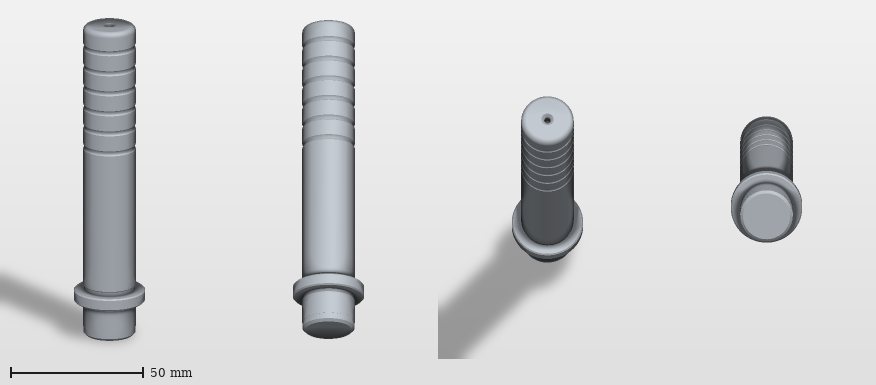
import cadquery as cq
import math

length = 123.0
rod_diameter = 19.9
nose_radius = 2.0

flange_diameter = 27.0
flange_bottom = 13.3
flange_thickness = 4.7
flange_chamfer = 0.5
neck_depth = 0.4
upper_neck_height = 1.8
lower_neck_height = 1.4

lead_height = 3.2
lead_depth = 0.06
foot_chamfer = 1.0

groove_count = 6
groove_pitch = 8.0
groove_width = 2.0
groove_depth = 0.5
first_groove_drop = 8.1

countersink_diameter = 4.7
pilot_diameter = 2.5
pilot_depth = 4.9
countersink_angle = 90
drill_point_angle = 120

rod_radius = rod_diameter / 2
flange_radius = flange_diameter / 2
countersink_radius = countersink_diameter / 2
pilot_radius = pilot_diameter / 2
flange_top = flange_bottom + flange_thickness
neck_radius = rod_radius - neck_depth


def cylinder(radius, bottom, top):
    return cq.Workplane("XY").workplane(offset=bottom).circle(radius).extrude(top - bottom)


def make_rod():
    """Full-length rod with a chamfered foot, stepped lead-in and rounded nose."""
    lead = cylinder(rod_radius - lead_depth, 0, lead_height).faces("<Z").chamfer(foot_chamfer)
    shaft = cylinder(rod_radius, lead_height, length).faces(">Z").edges().fillet(nose_radius)
    return lead.union(shaft)


def make_neck(flange_face, shoulder):
    """Ring to cut away beside the flange: a straight neck, then a 45 degree cone out to the shoulder."""
    cone_start = shoulder - math.copysign(neck_depth, shoulder - flange_face)
    return (
        cq.Workplane("XZ")
        .moveTo(neck_radius, flange_face)
        .lineTo(neck_radius, cone_start)
        .lineTo(rod_radius, shoulder)
        .lineTo(flange_radius, shoulder)
        .lineTo(flange_radius, flange_face)
        .close()
        .revolve(360, (0, 0, 0), (0, 1, 0))
    )


def make_groove(height):
    """Ring to cut away, with a shallow arc section centred on the given height."""
    half_width = groove_width / 2
    return (
        cq.Workplane("XZ")
        .moveTo(rod_radius, height - half_width)
        .threePointArc((rod_radius - groove_depth, height), (rod_radius, height + half_width))
        .lineTo(flange_radius, height + half_width)
        .lineTo(flange_radius, height - half_width)
        .close()
        .revolve(360, (0, 0, 0), (0, 1, 0))
    )


def cone_depth(radius_change, included_angle):
    """Axial length over which a cone changes its radius by the given amount."""
    return radius_change / math.tan(math.radians(included_angle / 2))


def make_centre_hole():
    """Blind pilot bore with a conical countersink and a drill-point bottom."""
    countersink_depth = cone_depth(countersink_radius - pilot_radius, countersink_angle)
    point_depth = cone_depth(pilot_radius, drill_point_angle)
    return (
        cq.Workplane("XZ")
        .moveTo(0, length)
        .lineTo(countersink_radius, length)
        .lineTo(pilot_radius, length - countersink_depth)
        .lineTo(pilot_radius, length - pilot_depth)
        .lineTo(0, length - pilot_depth - point_depth)
        .close()
        .revolve(360, (0, 0, 0), (0, 1, 0))
    )


result = make_rod()
result = result.cut(make_neck(flange_bottom, flange_bottom - lower_neck_height))
result = result.cut(make_neck(flange_top, flange_top + upper_neck_height))
result = result.union(cylinder(flange_radius, flange_bottom, flange_top).edges().chamfer(flange_chamfer))
for index in range(groove_count):
    result = result.cut(make_groove(length - first_groove_drop - index * groove_pitch))
result = result.cut(make_centre_hole())